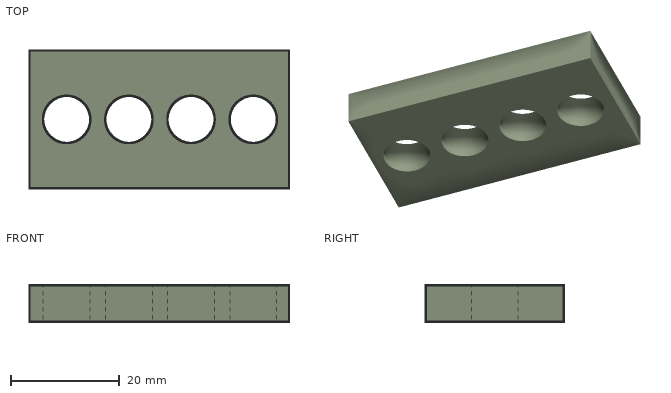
import cadquery as cq

length = 47.75
width = 25.4
thickness = 6.75

hole_diameter = 8.64
hole_count = 4
hole_pitch = 11.43
first_hole_from_left = 6.86


def make_plate():
    """Plate centred on the origin in X and Y, with its bottom face at Z = 0."""
    return cq.Workplane("XY").box(length, width, thickness, centered=(True, True, False))


def hole_centres():
    """Hole centres, measured from the middle of the plate."""
    first_x = first_hole_from_left - length / 2
    return [(first_x + i * hole_pitch, 0) for i in range(hole_count)]


def make_holes():
    """Cylinders that cut the holes through the full thickness."""
    return cq.Workplane("XY").pushPoints(hole_centres()).circle(hole_diameter / 2).extrude(thickness)


result = make_plate().cut(make_holes())